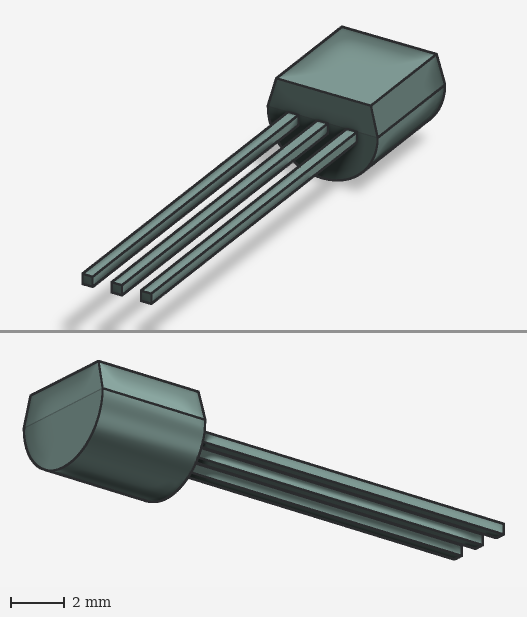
import cadquery as cq
import math

overall_length = 19.52
body_width = 4.76
body_length = 4.82
body_height = 3.61

body_radius = body_width / 2
upper_height = body_height - body_radius
side_draft = 15.0
end_draft = 3.0

lead_count = 3
lead_pitch = 1.27
lead_width = 0.45
lead_thickness = 0.43
lead_length = overall_length - body_length


def make_lower_body():
    """Half cylinder below the parting plane, with its axis along Y."""
    return (
        cq.Workplane("XZ")
        .moveTo(-body_radius, 0)
        .threePointArc((0, -body_radius), (body_radius, 0))
        .close()
        .extrude(-body_length)
    )


def make_upper_body():
    """Drafted block above the parting plane, ending in the flat top face."""
    top_width = body_width - 2 * upper_height * math.tan(math.radians(side_draft))
    top_length = body_length - 2 * upper_height * math.tan(math.radians(end_draft))
    return (
        cq.Workplane("XY", origin=(0, body_length / 2, 0))
        .rect(body_width, body_length)
        .workplane(offset=upper_height)
        .rect(top_width, top_length)
        .loft(combine=True, ruled=True)
    )


def make_leads():
    """Row of rectangular leads whose top faces lie on the parting plane."""
    return (
        cq.Workplane("XZ", origin=(0, 0, -lead_thickness / 2))
        .rarray(lead_pitch, 0.2, lead_count, 1)
        .rect(lead_width, lead_thickness)
        .extrude(lead_length)
    )


result = make_lower_body().union(make_upper_body()).union(make_leads())